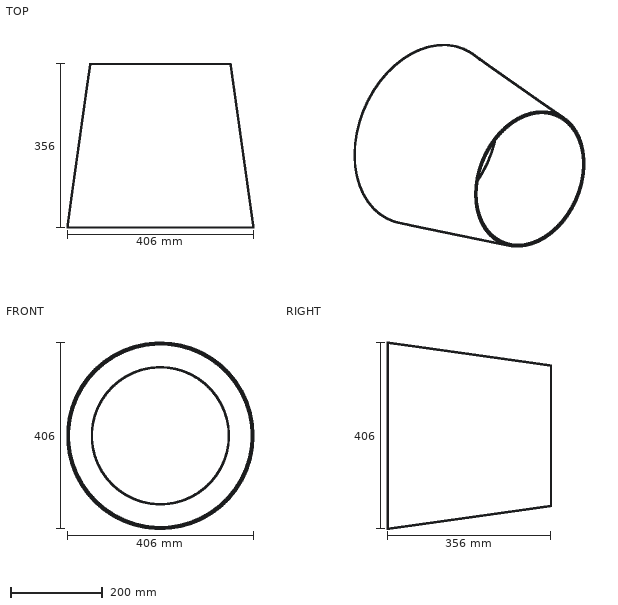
import cadquery as cq

wide_diameter = 406.0
narrow_diameter = 306.0
length = 356.0
wall = 4.0

wide_radius = wide_diameter / 2
narrow_radius = narrow_diameter / 2

wall_section = (
    cq.Workplane("XY")
    .moveTo(wide_radius - wall, 0)
    .lineTo(wide_radius, 0)
    .lineTo(narrow_radius, length)
    .lineTo(narrow_radius - wall, length)
    .close()
)

result = wall_section.revolve(360, (0, 0, 0), (0, 1, 0))